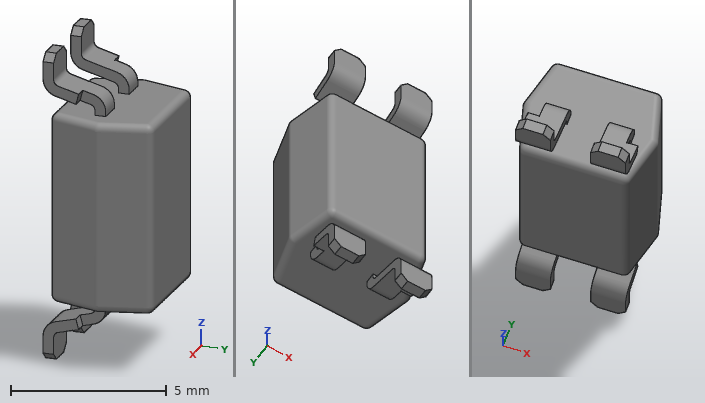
import cadquery as cq
import math

overall_height = 10.51
overall_depth = 3.74

body_width = 4.58
body_depth = 3.5
body_height = 6.48
side_draft = math.radians(15)
edge_radius = 0.25

lead_thickness = 0.37
lead_width = 1.19
neck_width = 0.8
lead_pitch = 2.55
inner_bend_radius = 0.2
outer_bend_radius = inner_bend_radius + lead_thickness
arm_slope = math.radians(15)
lead_depth = 2.01
foot_straight = 0.83
notch_distance = 1.18
foot_chamfer = 0.25

body_top = body_height / 2
lead_tip = overall_height / 2
lead_front = body_depth / 2 - overall_depth


def make_body():
    """Six-sided block with a ridge along each side and every edge rounded."""
    ridge_x = body_width / 2 + edge_radius * (1 / math.cos(side_draft) - 1)
    half_depth = body_depth / 2
    face_x = ridge_x - half_depth * math.tan(side_draft)
    outline = [
        (-face_x, -half_depth),
        (face_x, -half_depth),
        (ridge_x, 0),
        (face_x, half_depth),
        (-face_x, half_depth),
        (-ridge_x, 0),
    ]
    block = cq.Workplane("XY").polyline(outline).close().extrude(body_top, both=True)
    return block.edges().fillet(edge_radius)


def bent_strip():
    """Full-width top strip centred on X = 0, with the Y and Z where its shoulder crosses the arm."""
    foot_back = lead_front + lead_thickness
    neck_back = lead_front + lead_depth
    neck_front = neck_back - lead_thickness

    bend_turn = math.pi / 2 - arm_slope
    slope = math.tan(arm_slope)
    arm_front_z = lead_tip - foot_straight - outer_bend_radius * math.tan(bend_turn / 2)
    arm_back_z = arm_front_z + lead_thickness / math.cos(arm_slope)
    first_outer = (lead_front, arm_front_z)
    first_inner = (foot_back, arm_back_z - lead_thickness * slope)
    second_inner = (neck_front, arm_front_z - (neck_front - lead_front) * slope)
    second_outer = (neck_back, arm_back_z - lead_depth * slope)

    strip = (
        cq.Workplane("YZ")
        .moveTo(lead_front, lead_tip)
        .lineTo(*first_outer)
        .lineTo(*second_inner)
        .lineTo(neck_front, body_top)
        .lineTo(neck_back, body_top)
        .lineTo(*second_outer)
        .lineTo(*first_inner)
        .lineTo(foot_back, lead_tip)
        .close()
        .extrude(lead_width / 2, both=True)
    )
    outer_bends = [first_outer, second_outer]
    inner_bends = [first_inner, second_inner]
    for corners, radius in ((outer_bends, outer_bend_radius), (inner_bends, inner_bend_radius)):
        for y, z in corners:
            strip = strip.edges(cq.NearestToPointSelector((0, y, z))).fillet(radius)

    shoulder_y = lead_front + notch_distance
    shoulder_z = (arm_front_z + arm_back_z) / 2 - notch_distance * slope
    return strip, shoulder_y, shoulder_z


def make_top_lead():
    """Lead for the -X side of the top end, notched on its outer side."""
    strip, shoulder_y, shoulder_z = bent_strip()
    strip = strip.faces(">Z").edges("|Y").chamfer(foot_chamfer)

    notch_reach = lead_depth
    notch_width = lead_width - neck_width
    notch = (
        cq.Workplane("XY")
        .box(notch_width, notch_reach, 2 * notch_reach, centered=(False, False, True))
        .rotate((0, 0, 0), (1, 0, 0), -math.degrees(arm_slope))
        .translate((-lead_width / 2, shoulder_y, shoulder_z))
    )
    return strip.cut(notch).translate((-lead_pitch / 2, 0, 0))


def make_leads():
    """Four leads: the top -X lead and its mirror images across X and Z."""
    leads = []
    for on_right in (False, True):
        for at_bottom in (False, True):
            lead = make_top_lead()
            if on_right:
                lead = lead.mirror("YZ")
            if at_bottom:
                lead = lead.mirror("XY")
            leads.append(lead)
    return leads


body = make_body()
leads = make_leads()

result = cq.Compound.makeCompound([body.val(), *[lead.val() for lead in leads]])